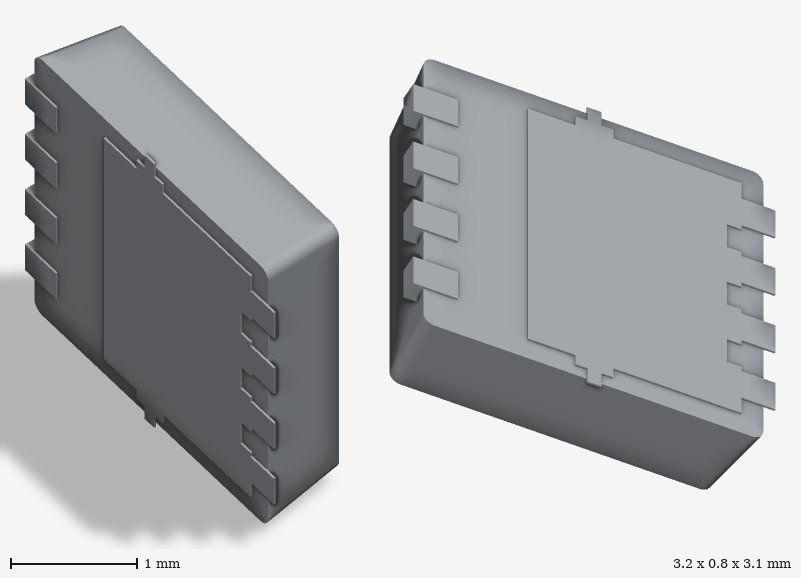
import cadquery as cq
import math

overall_length = 3.2
overall_depth = 0.8
tab_span = 3.1
half_length = overall_length / 2

housing_width = 3.0
housing_draft = 6.0
corner_radius = 0.1
standoff = 0.02

lead_count = 4
lead_pitch = 0.65
lead_width = 0.3
lead_length = 0.397
lead_depth = 0.175

plate_thickness = standoff
plate_left = -0.585
plate_right = 1.3
plate_height = 2.6
notch_left = 1.17
notch_height = 0.255
shoulder_width = 0.335
shoulder_span = 2.803
tab_width = 0.125

lead_heights = [(i - (lead_count - 1) / 2) * lead_pitch for i in range(lead_count)]
notch_heights = [(low + high) / 2 for low, high in zip(lead_heights, lead_heights[1:])]


def block(x_start, x_end, y_start, y_end, z_center, height):
    """Box between two X and two Y positions, centred in Z on z_center."""
    size = (x_end - x_start, y_end - y_start, height)
    center = ((x_start + x_end) / 2, (y_start + y_end) / 2, z_center)
    return cq.Workplane("XY").box(*size).translate(center)


def make_lead(z_center):
    """Rectangular lead that enters the housing from its -X side."""
    return block(-half_length, -half_length + lead_length, 0, lead_depth, z_center, lead_width)


def make_drain():
    """Thin plate with fingers on +X, notches between them and stepped tabs on both Z ends."""
    def plate_block(x_start, x_end, z_center, height):
        return block(x_start, x_end, 0, plate_thickness, z_center, height)

    drain = plate_block(plate_left, plate_right, 0, plate_height)
    drain = drain.union(plate_block(-shoulder_width / 2, shoulder_width / 2, 0, shoulder_span))
    drain = drain.union(plate_block(-tab_width / 2, tab_width / 2, 0, tab_span))
    for z_center in lead_heights:
        drain = drain.union(plate_block(notch_left, half_length, z_center, lead_width))
    for z_center in notch_heights:
        drain = drain.cut(plate_block(notch_left, plate_right, z_center, notch_height))
    return drain


def make_housing(leads):
    """Block with rounded corners that tapers toward +Y, with a recess for each lead."""
    housing_depth = overall_depth - standoff
    back_width = housing_width - 2 * housing_depth * math.tan(math.radians(housing_draft))
    front = cq.Sketch().rect(housing_width, housing_width).vertices().fillet(corner_radius)
    back = cq.Sketch().rect(back_width, back_width).vertices().fillet(corner_radius)
    housing = (
        cq.Workplane("XZ")
        .placeSketch(
            front.moved(cq.Location(cq.Vector(0, 0, -standoff))),
            back.moved(cq.Location(cq.Vector(0, 0, -overall_depth))),
        )
        .loft(ruled=True)
    )
    for lead in leads:
        housing = housing.cut(lead)
    return housing


leads = [make_lead(z_center) for z_center in lead_heights]
drain = make_drain()
housing = make_housing(leads)

result = cq.Compound.makeCompound([housing.val(), drain.val(), *[lead.val() for lead in leads]])